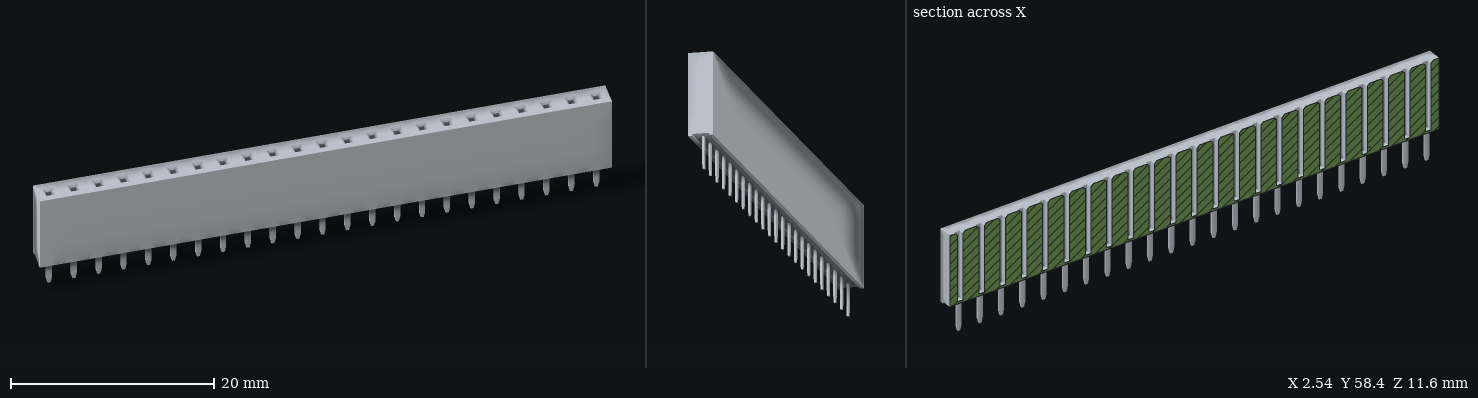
import cadquery as cq

PITCH = 2.54
POSITIONS = 23
HOUSING_WIDTH = PITCH
HOUSING_LENGTH = POSITIONS * PITCH
HOUSING_HEIGHT = 8.5

CHANNEL_WIDTH = 1.72
CHANNEL_DEPTH = 0.2

LEAD_IN_SIZE = 1.2
SOCKET_SIZE = 0.6
LEAD_IN_DEPTH = (LEAD_IN_SIZE - SOCKET_SIZE) / 2
SOCKET_DEPTH = 8.0

TAIL_THICKNESS = 0.2
TAIL_WIDTH = 0.6
TAIL_LENGTH = 3.1
TIP_WIDTH = 0.3
TIP_LENGTH = 0.6


def make_housing():
    housing = cq.Workplane("XY").box(
        HOUSING_WIDTH, HOUSING_LENGTH, HOUSING_HEIGHT, centered=(True, True, False)
    )
    channel = cq.Workplane("XY").box(
        CHANNEL_WIDTH, HOUSING_LENGTH, CHANNEL_DEPTH, centered=(True, True, False)
    )
    return housing.cut(channel)


def make_socket(y):
    """Void of one socket: a blind square hole below a tapered lead-in."""
    top = cq.Workplane("XY", origin=(0, y, HOUSING_HEIGHT))
    lead_in = (
        top.rect(LEAD_IN_SIZE, LEAD_IN_SIZE)
        .workplane(offset=-LEAD_IN_DEPTH)
        .rect(SOCKET_SIZE, SOCKET_SIZE)
        .loft(ruled=True)
    )
    hole = top.rect(SOCKET_SIZE, SOCKET_SIZE).extrude(-SOCKET_DEPTH)
    return lead_in.union(hole)


def make_tail(y):
    """One flat tail, rooted in the roof of the channel and narrowing in Y at its tip."""
    half_width = TAIL_WIDTH / 2
    half_tip = TIP_WIDTH / 2
    taper_start = TIP_LENGTH - TAIL_LENGTH
    outline = [
        (-half_width, CHANNEL_DEPTH),
        (-half_width, taper_start),
        (-half_tip, -TAIL_LENGTH),
        (half_tip, -TAIL_LENGTH),
        (half_width, taper_start),
        (half_width, CHANNEL_DEPTH),
    ]
    return (
        cq.Workplane("YZ", origin=(0, y, 0))
        .polyline(outline)
        .close()
        .extrude(TAIL_THICKNESS / 2, both=True)
    )


result = make_housing()
for position in range(POSITIONS):
    y_position = (position - (POSITIONS - 1) / 2) * PITCH
    result = result.cut(make_socket(y_position))
    result = result.union(make_tail(y_position))